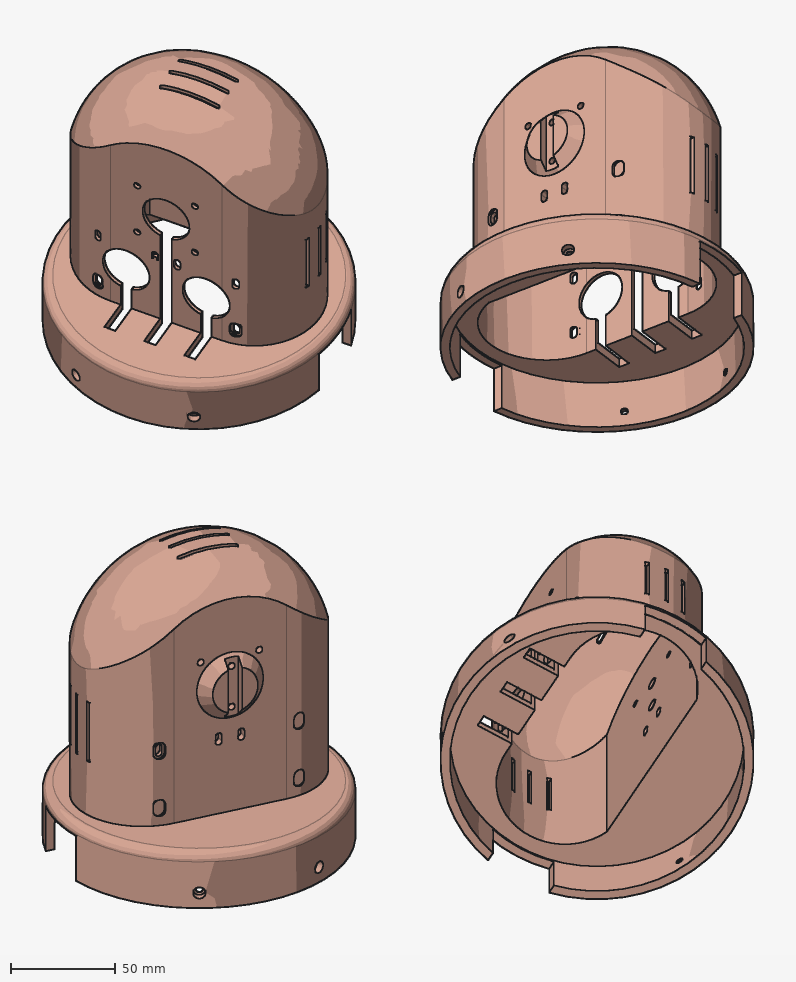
import cadquery as cq
import math

TOTAL_HEIGHT = 161.3
BASE_RADIUS = 75.0
BASE_HEIGHT = 30.0
RIM_FILLET = 4.8
PLATE_THICKNESS = 4.8
SKIRT_WALL = 4.5
NOTCH_WIDTH = 34.0
NOTCH_HEIGHT = 24.2

WALL = 2.1
BACK_WALL = 4.4
TOWER_RADIUS = 35.0
TOWER_FLAT_HALF = 29.8
DOME_RADIUS = 66.0
DOME_CROWN_RADIUS = 45.0
DOME_CENTER_Z = TOTAL_HEIGHT - DOME_RADIUS

VENT_LENGTH = 32.0
VENT_WIDTH = 2.0
VENT_PITCH = 10.0
SIDE_VENT_Z = 75.0

PORT_DIAMETER = 25.2
UPPER_PORT_Z = 98.1
UPPER_CABLE_WIDTH = 6.1
LOWER_PORT_X = 21.5
LOWER_PORT_Z = 54.9
LOWER_CABLE_WIDTH = 5.8
CABLE_SLOT_END_Y = -52.1

SCREW_DIAMETER = 3.4
HEAD_DIAMETER = 6.0
HEAD_DEPTH = 1.5
SLOT_HEAD_DEPTH = 1.0
SKIRT_HEAD_DEPTH = 3.9
PORT_SCREW_OFFSET = 15.5
SLOT_STRAIGHT = 2.9
OUTER_SLOT_X = 37.0
INNER_SLOT_X = 6.0
UPPER_SLOT_Z = 70.2
LOWER_SLOT_Z = 39.4
TAB_WIDTH = 2.3
TAB_TOP_Z = 70.2
TAB_SLOT_BOTTOM_Z = 68.5
SKIRT_SCREW_ANGLE = 65.0
SKIRT_SCREW_Z = 8.2

BOSS_BASE_DIAMETER = 35.2
BOSS_TIP_DIAMETER = 23.9
BOSS_HEIGHT = 6.0
BOSS_SCREW_OFFSET = 11.0
GROOVE_WIDTH = 7.3
GROOVE_DEPTH = 4.2


def tower_block(inset, bottom, top):
    """Stadium prism, inset from the outer tower wall."""
    diameter = 2 * (TOWER_RADIUS - inset)
    block = cq.Workplane("XY").workplane(offset=bottom)
    return block.slot2D(2 * TOWER_FLAT_HALF + diameter, diameter).extrude(top - bottom)


def dome(inset):
    """Disc with a half-round rim, turned about the Y direction through the dome centre."""
    crown = DOME_CROWN_RADIUS - inset
    apex = DOME_RADIUS - inset
    rim_center = apex - crown
    return (
        cq.Workplane("XY")
        .moveTo(0, -crown)
        .lineTo(rim_center, -crown)
        .threePointArc((apex, 0), (rim_center, crown))
        .lineTo(0, crown)
        .close()
        .revolve(360, (0, 0), (0, 1))
        .translate((0, 0, DOME_CENTER_Z))
    )


def domed_tower(inset, bottom):
    cap = tower_block(inset, DOME_CENTER_Z, TOTAL_HEIGHT).intersect(dome(inset))
    return tower_block(inset, bottom, DOME_CENTER_Z).union(cap)


def along_y(x, z, start_y, end_y, diameter, straight=0.0):
    """Round or vertically slotted cutter running in +Y."""
    plane = cq.Workplane(cq.Plane((x, start_y, z), (1, 0, 0), (0, -1, 0)))
    if straight:
        sketch = plane.slot2D(straight + diameter, diameter, 90)
    else:
        sketch = plane.circle(diameter / 2)
    return sketch.extrude(start_y - end_y)


def box(x_range, y_range, z_range):
    size = [high - low for low, high in (x_range, y_range, z_range)]
    corner = (x_range[0], y_range[0], z_range[0])
    return cq.Workplane("XY").box(*size, centered=False).translate(corner)


def wall_y(x):
    """Distance of the outer tower surface from the XZ plane at a given x."""
    return math.sqrt(TOWER_RADIUS**2 - max(0.0, abs(x) - TOWER_FLAT_HALF) ** 2)


def front_hole(x, z, diameter, straight=0.0):
    return along_y(x, z, -TOWER_RADIUS, 0, diameter, straight)


def back_hole(x, z, diameter, straight=0.0):
    return along_y(x, z, 0, TOWER_RADIUS, diameter, straight)


def make_shell():
    base = cq.Workplane("XY").circle(BASE_RADIUS).extrude(BASE_HEIGHT)
    base = base.faces(">Z").edges().fillet(RIM_FILLET)
    boss = (
        cq.Workplane(cq.Plane((0, TOWER_RADIUS, UPPER_PORT_Z), (1, 0, 0), (0, 1, 0)))
        .circle(BOSS_BASE_DIAMETER / 2)
        .workplane(offset=BOSS_HEIGHT)
        .circle(BOSS_TIP_DIAMETER / 2)
        .loft()
    )
    skirt_space = cq.Workplane("XY").circle(BASE_RADIUS - SKIRT_WALL)
    skirt_space = skirt_space.extrude(BASE_HEIGHT - PLATE_THICKNESS)
    outside = base.union(domed_tower(0, BASE_HEIGHT)).union(boss)
    back_rest = box(
        (-BASE_RADIUS, BASE_RADIUS),
        (TOWER_RADIUS - BACK_WALL, BASE_RADIUS),
        (0, TOTAL_HEIGHT),
    )
    cavity = domed_tower(WALL, 0).cut(back_rest)
    return outside.cut(cavity).cut(skirt_space)


def cut_skirt(body):
    notch = cq.Workplane("XY").box(3 * BASE_RADIUS, NOTCH_WIDTH, NOTCH_HEIGHT, (True, True, False))
    body = body.cut(notch)
    for side in (-1, 1):
        for turn in (SKIRT_SCREW_ANGLE, 180 - SKIRT_SCREW_ANGLE):
            hole = cq.Workplane("YZ").circle(SCREW_DIAMETER / 2).extrude(BASE_RADIUS)
            head = cq.Workplane("YZ").workplane(offset=BASE_RADIUS - SKIRT_HEAD_DEPTH)
            head = head.circle(HEAD_DIAMETER / 2).extrude(2 * SKIRT_HEAD_DEPTH)
            cutter = hole.union(head).translate((0, 0, SKIRT_SCREW_Z))
            body = body.cut(cutter.rotate((0, 0, 0), (0, 0, 1), side * turn))
    return body


def cut_vents(body):
    for row in (-1, 0, 1):
        y = row * VENT_PITCH
        top_vent = cq.Workplane("XY").workplane(offset=DOME_CENTER_Z).center(0, y)
        body = body.cut(top_vent.slot2D(VENT_LENGTH, VENT_WIDTH).extrude(DOME_RADIUS))
        side_vent = cq.Workplane("XY").box(2 * BASE_RADIUS, VENT_WIDTH, VENT_LENGTH)
        body = body.cut(side_vent.translate((0, y, SIDE_VENT_Z)))
    return body


def cut_ports(body):
    ports = (
        (-LOWER_PORT_X, LOWER_PORT_Z, LOWER_CABLE_WIDTH),
        (0, UPPER_PORT_Z, UPPER_CABLE_WIDTH),
        (LOWER_PORT_X, LOWER_PORT_Z, LOWER_CABLE_WIDTH),
    )
    skirt_top = BASE_HEIGHT - PLATE_THICKNESS
    for x, z, cable_width in ports:
        cable_x = (x - cable_width / 2, x + cable_width / 2)
        body = body.cut(front_hole(x, z, PORT_DIAMETER))
        body = body.cut(box(cable_x, (-TOWER_RADIUS, 0), (skirt_top, z)))
        body = body.cut(box(cable_x, (CABLE_SLOT_END_Y, 0), (skirt_top, BASE_HEIGHT)))
    return body


def cut_port_screws(body):
    """Four holes around the upper port; the upper pair also pierces the back wall."""
    for x in (-PORT_SCREW_OFFSET, PORT_SCREW_OFFSET):
        upper_z = UPPER_PORT_Z + PORT_SCREW_OFFSET
        lower_z = UPPER_PORT_Z - PORT_SCREW_OFFSET
        body = body.cut(front_hole(x, upper_z, SCREW_DIAMETER))
        body = body.cut(front_hole(x, lower_z, SCREW_DIAMETER))
        body = body.cut(back_hole(x, upper_z, SCREW_DIAMETER))
    return body


def cut_adjustment_slots(body):
    for x in (-OUTER_SLOT_X, OUTER_SLOT_X):
        surface = wall_y(x)
        floor = surface - SLOT_HEAD_DEPTH
        body = body.cut(front_hole(x, UPPER_SLOT_Z, SCREW_DIAMETER, SLOT_STRAIGHT))
        body = body.cut(front_hole(x, LOWER_SLOT_Z, SCREW_DIAMETER, SLOT_STRAIGHT))
        body = body.cut(along_y(x, LOWER_SLOT_Z, -TOWER_RADIUS, -floor, HEAD_DIAMETER, SLOT_STRAIGHT))
        for z in (UPPER_SLOT_Z, LOWER_SLOT_Z):
            body = body.cut(along_y(x, z, floor, TOWER_RADIUS, HEAD_DIAMETER, SLOT_STRAIGHT))

    for x in (-INNER_SLOT_X, INNER_SLOT_X, OUTER_SLOT_X):
        body = body.cut(back_hole(x, UPPER_SLOT_Z, SCREW_DIAMETER, SLOT_STRAIGHT))
    body = body.cut(front_hole(INNER_SLOT_X, UPPER_SLOT_Z, SCREW_DIAMETER, SLOT_STRAIGHT))

    tab_x = (-INNER_SLOT_X - TAB_WIDTH / 2, -INNER_SLOT_X + TAB_WIDTH / 2)
    slot_x = (-INNER_SLOT_X - SCREW_DIAMETER, -INNER_SLOT_X + SCREW_DIAMETER)
    depth = (-TOWER_RADIUS, 0)
    short_slot = front_hole(-INNER_SLOT_X, UPPER_SLOT_Z, SCREW_DIAMETER, SLOT_STRAIGHT)
    short_slot = short_slot.cut(box(slot_x, depth, (0, TAB_SLOT_BOTTOM_Z)))
    short_slot = short_slot.cut(box(tab_x, depth, (0, TAB_TOP_Z)))
    return body.cut(short_slot)


def cut_boss_screws(body):
    """Screw holes through the boss, sunk from the inside, and a groove across the boss tip."""
    inner_face = TOWER_RADIUS - BACK_WALL
    tip = TOWER_RADIUS + BOSS_HEIGHT
    for z in (UPPER_PORT_Z - BOSS_SCREW_OFFSET, UPPER_PORT_Z + BOSS_SCREW_OFFSET):
        body = body.cut(along_y(0, z, 0, tip, SCREW_DIAMETER))
        body = body.cut(along_y(0, z, 0, inner_face + HEAD_DEPTH, HEAD_DIAMETER))
    groove_x = (-GROOVE_WIDTH / 2, GROOVE_WIDTH / 2)
    groove_z = (UPPER_PORT_Z - BOSS_BASE_DIAMETER / 2, UPPER_PORT_Z + BOSS_BASE_DIAMETER / 2)
    return body.cut(box(groove_x, (tip - GROOVE_DEPTH, tip), groove_z))


result = make_shell()
result = cut_skirt(result)
result = cut_vents(result)
result = cut_ports(result)
result = cut_port_screws(result)
result = cut_adjustment_slots(result)
result = cut_boss_screws(result)